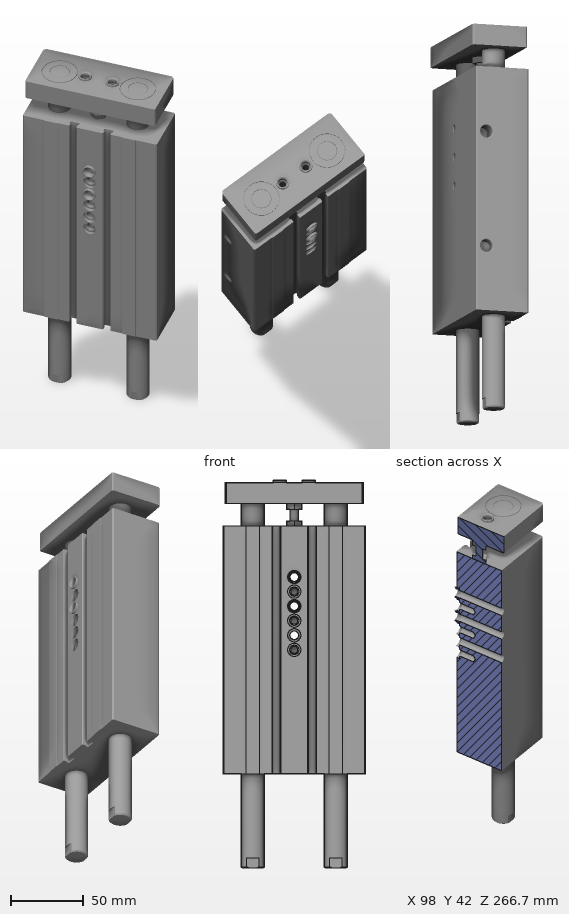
import cadquery as cq
import math


housing_width = 98.0
housing_height = 170.5
housing_bottom = 64.8
housing_top = housing_bottom + housing_height
housing_back = 19.2
housing_front = -18.7
housing_corner_chamfer = 0.8

pad_height = 0.4
pad_front = housing_front - pad_height
side_pad_width = 9.5

slot_inner_edge = 10.0
slot_mouth_width = 5.0
slot_inside_width = 6.7
slot_lip_depth = 3.2
slot_depth = 5.3
slot_chamfer = 0.3
slot_center_x = slot_inner_edge + slot_mouth_width / 2
middle_pad_width = 2 * slot_inner_edge

sleeve_diameter = 9.0
sleeve_bore = 6.5
sleeve_projection = 1.73
sleeve_seat_depth = 2.1
sleeve_mouth_diameter = 8.0
sleeve_chamfer = 0.3
sleeve_length = sleeve_projection + sleeve_seat_depth

through_hole_spacing = 20.0
hole_pitch = through_hole_spacing / 2
hole_pairs = 3
top_hole_z = housing_top - 35.2
through_hole_diameter = 6.0
thread_diameter = 6.5
thread_core_diameter = 4.8
thread_depth = 12.0
drill_point_angle = 118

port_diameter = 8.8
port_mouth_diameter = 9.5
port_depth = 12.0
port_y = 11.7
upper_port_z = top_hole_z - hole_pitch
port_spacing = 80.0
bearing_diameter = 32.0

rod_diameter = 16.0
rod_spacing = 57.0
rod_spigot_diameter = 14.0
rod_end_chamfer = 0.8
spigot_chamfer = 0.4
flat_width_across = 13.5
flat_height = 7.0
rod_positions = [-rod_spacing / 2, rod_spacing / 2]

plate_width = 95.0
plate_depth = 39.2
plate_thickness = 14.5
overall_height = 266.7
plate_top = overall_height - sleeve_projection
plate_bottom = plate_top - plate_thickness
overall_depth = 42.0
plate_back = overall_depth + pad_front - sleeve_projection
plate_front_chamfer = 0.8
plate_back_chamfer = 1.5
plate_sleeve_spacing = through_hole_spacing
plate_sleeve_positions = [-plate_sleeve_spacing / 2, plate_sleeve_spacing / 2]
ring_outer_diameter = 25.0
ring_inner_diameter = 24.0
ring_depth = 0.5

stud_diameter = 6.0
hex_across_flats = 10.5
upper_hex_height = 4.0
lower_hex_height = 3.2


def cylinder(diameter, length, start, direction):
    """Cylinder with its axis from start along direction."""
    return cq.Workplane(cq.Solid.makeCylinder(diameter / 2, length, cq.Vector(*start), cq.Vector(*direction)))


def cone(start_diameter, end_diameter, length, start, direction):
    """Cone or cone frustum with its axis from start along direction."""
    start_radius = start_diameter / 2
    end_radius = end_diameter / 2
    solid = cq.Solid.makeCone(start_radius, end_radius, length, cq.Vector(*start), cq.Vector(*direction))
    return cq.Workplane(solid)


def drilled_hole(diameter, depth, start, direction):
    """Blind hole with a conical drill point."""
    tip = [s + depth * d for s, d in zip(start, direction)]
    point_length = diameter / 2 / math.tan(math.radians(drill_point_angle / 2))
    return cylinder(diameter, depth, start, direction).union(cone(diameter, 0, point_length, tip, direction))


def countersink(mouth_diameter, diameter, start, direction):
    """45 degree chamfer at the mouth of a hole."""
    return cone(mouth_diameter, diameter, (mouth_diameter - diameter) / 2, start, direction)


def upright_box(x_center, width, y_front, y_back, z_bottom, height):
    """Box centered on x_center, between two Y planes and standing on z_bottom."""
    box = cq.Workplane("XY").box(width, y_back - y_front, height, centered=(True, False, False))
    return box.translate((x_center, y_front, z_bottom))


def make_sensor_slot(x_center):
    """T-shaped slot with chamfered lips along the full housing height."""
    mouth = slot_mouth_width / 2
    inside = slot_inside_width / 2
    outer_mouth = mouth + slot_chamfer + pad_height
    lip_y = pad_front + slot_lip_depth
    floor_y = pad_front + slot_depth
    right_side = [
        (outer_mouth, pad_front),
        (mouth, housing_front + slot_chamfer),
        (mouth, lip_y),
        (inside, lip_y),
        (inside, floor_y),
    ]
    left_side = [(-x, y) for x, y in reversed(right_side)]
    slot = cq.Workplane("XY").polyline(right_side + left_side).close().extrude(housing_height)
    return slot.translate((x_center, 0, housing_bottom))


def make_housing():
    """Block with raised front pads, sensor slots, mounting holes, ports and guide rod bores."""
    body = upright_box(0, housing_width, housing_front, housing_back, housing_bottom, housing_height)
    body = body.edges("|Z").chamfer(housing_corner_chamfer)
    pads = [(0, middle_pad_width)] + [(x, side_pad_width) for x in rod_positions]
    for x, width in pads:
        body = body.union(upright_box(x, width, pad_front, 0, housing_bottom, housing_height))
    for x in (-slot_center_x, slot_center_x):
        body = body.cut(make_sensor_slot(x))
    body = cut_mounting_holes(body)
    body = cut_ports(body)
    for x in rod_positions:
        body = body.cut(cylinder(rod_diameter, housing_height, (x, 0, housing_bottom), (0, 0, 1)))
    return body


def cut_mounting_holes(body):
    """Through holes and threaded blind holes in turn, each with a sleeve seat."""
    inward = (0, 1, 0)
    seat_y = pad_front + sleeve_seat_depth
    for pair in range(hole_pairs):
        through_z = top_hole_z - pair * through_hole_spacing
        threaded_z = through_z - hole_pitch
        through_length = housing_back - pad_front
        body = body.cut(cylinder(through_hole_diameter, through_length, (0, pad_front, through_z), inward))
        body = body.cut(drilled_hole(thread_core_diameter, thread_depth, (0, seat_y, threaded_z), inward))
        body = body.cut(countersink(thread_diameter, thread_core_diameter, (0, seat_y, threaded_z), inward))
        for z in (through_z, threaded_z):
            body = body.cut(cylinder(sleeve_diameter, sleeve_seat_depth, (0, pad_front, z), inward))
    return body


def cut_ports(body):
    """Two ports; the lower one ends on the round wall around the left guide rod."""
    inward = (1, 0, 0)
    bearing_base = (rod_positions[0], 0, housing_bottom)
    bearing_wall = cylinder(bearing_diameter, housing_height / 2, bearing_base, (0, 0, 1))
    for z in (upper_port_z, upper_port_z - port_spacing):
        mouth = (-housing_width / 2, port_y, z)
        port = drilled_hole(port_diameter, port_depth, mouth, inward)
        port = port.union(countersink(port_mouth_diameter, port_diameter, mouth, inward))
        body = body.cut(port.cut(bearing_wall))
    return body


def make_rod(x):
    """Guide rod with a spigot through the yoke plate and two wrench flats at its lower end."""
    rod = cylinder(rod_diameter, plate_bottom, (x, 0, 0), (0, 0, 1))
    rod = rod.faces("<Z").chamfer(rod_end_chamfer)
    spigot = cylinder(rod_spigot_diameter, plate_thickness, (x, 0, plate_bottom), (0, 0, 1))
    rod = rod.union(spigot.faces(">Z").chamfer(spigot_chamfer))
    rod_radius = rod_diameter / 2
    half_across = flat_width_across / 2
    flat_zone = upright_box(x, rod_diameter, -rod_radius, rod_radius, 0, flat_height)
    between_flats = upright_box(x, rod_diameter, -half_across, half_across, 0, flat_height)
    return rod.cut(flat_zone.cut(between_flats))


def make_hexagon(z_bottom, height):
    """Hexagonal prism on the Z axis with corners toward the front and back."""
    sides = 6
    half_side_angle = 180 / sides
    corner_diameter = hex_across_flats / math.cos(math.radians(half_side_angle))
    prism = cq.Workplane("XY").polygon(sides, corner_diameter).extrude(height)
    return prism.rotate((0, 0, 0), (0, 0, 1), half_side_angle).translate((0, 0, z_bottom))


def make_stud():
    """Threaded stud with a hexagon at the plate and one at the housing."""
    upper = make_hexagon(plate_bottom - upper_hex_height, upper_hex_height)
    lower = make_hexagon(housing_top, lower_hex_height)
    shank = cylinder(stud_diameter, plate_bottom - housing_top, (0, 0, housing_top), (0, 0, 1))
    return shank.union(upper).union(lower)


def make_yoke():
    """Plate that joins the guide rods, with the stud under its middle."""
    plate = upright_box(0, plate_width, plate_back - plate_depth, plate_back, plate_bottom, plate_thickness)
    plate = plate.faces("<Y").edges("|Z").chamfer(plate_front_chamfer)
    plate = plate.faces(">Y").edges("|Z").chamfer(plate_back_chamfer)
    plate = plate.union(make_stud())
    down = (0, 0, -1)
    for x in rod_positions:
        ring = cylinder(ring_outer_diameter, ring_depth, (x, 0, plate_top), down)
        ring = ring.cut(cylinder(ring_inner_diameter, ring_depth, (x, 0, plate_top), down))
        plate = plate.cut(ring)
        plate = plate.cut(cylinder(rod_spigot_diameter, plate_thickness, (x, 0, plate_top), down))
    for x in plate_sleeve_positions:
        plate = plate.cut(cylinder(sleeve_diameter, sleeve_seat_depth, (x, 0, plate_top), down))
        plate = plate.cut(cylinder(thread_core_diameter, plate_thickness, (x, 0, plate_top), down))
        seat = (x, 0, plate_top - sleeve_seat_depth)
        plate = plate.cut(countersink(thread_diameter, thread_core_diameter, seat, down))
    return plate


def make_sleeve(seat, outward):
    """Centering sleeve on the floor of its seat, with chamfered rims and a countersunk outer mouth."""
    sleeve = cylinder(sleeve_diameter, sleeve_length, seat, outward)
    sleeve = sleeve.edges("%CIRCLE").chamfer(sleeve_chamfer)
    sleeve = sleeve.cut(cylinder(sleeve_bore, sleeve_length, seat, outward))
    rim = [s + sleeve_length * d for s, d in zip(seat, outward)]
    inward = [-d for d in outward]
    return sleeve.cut(countersink(sleeve_mouth_diameter, sleeve_bore, rim, inward))


housing = make_housing()
yoke = make_yoke()
rods = [make_rod(x) for x in rod_positions]

plate_sleeves = [
    make_sleeve((x, 0, plate_top - sleeve_seat_depth), (0, 0, 1)) for x in plate_sleeve_positions
]
housing_sleeves = [
    make_sleeve((0, pad_front + sleeve_seat_depth, z), (0, -1, 0))
    for z in (top_hole_z, top_hole_z - through_hole_spacing)
]

bodies = [housing, yoke] + rods + plate_sleeves + housing_sleeves
result = cq.Compound.makeCompound([body.val() for body in bodies])